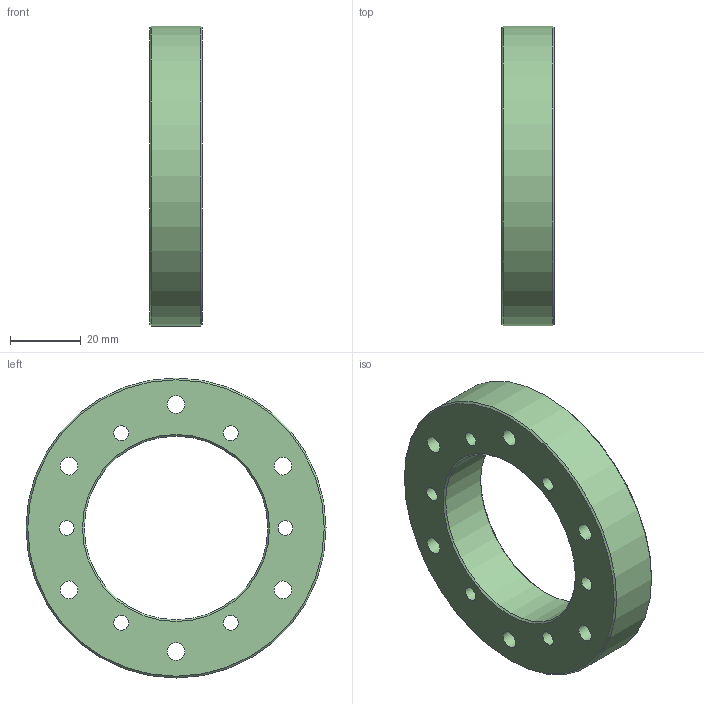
import cadquery as cq

outer_diameter = 85.0
bore_diameter = 52.0
thickness = 15.0
edge_chamfer = 0.5

holes_per_circle = 6
large_hole_diameter = 5.0
large_circle_radius = 35.0
large_start_angle = 90.0
small_hole_diameter = 4.2
small_circle_radius = 31.0
small_start_angle = 0.0


def make_ring():
    """Flat ring with both rims of the outside and of the bore chamfered."""
    ring = (
        cq.Workplane("YZ")
        .circle(outer_diameter / 2)
        .circle(bore_diameter / 2)
        .extrude(thickness)
    )
    return ring.faces("<X or >X").edges().chamfer(edge_chamfer)


def hole_circle(hole_diameter, circle_radius, start_angle):
    """Cylinders to cut, evenly spaced on a circle around the ring axis."""
    return (
        cq.Workplane("YZ")
        .polarArray(circle_radius, start_angle, 360, holes_per_circle)
        .circle(hole_diameter / 2)
        .extrude(thickness)
    )


result = (
    make_ring()
    .cut(hole_circle(large_hole_diameter, large_circle_radius, large_start_angle))
    .cut(hole_circle(small_hole_diameter, small_circle_radius, small_start_angle))
)